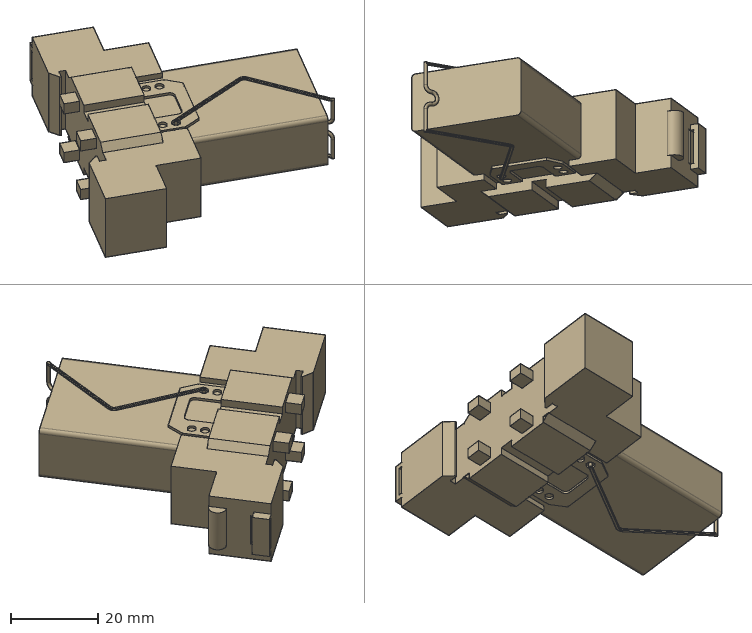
import cadquery as cq
import math


total_length = 65.2
total_height = 60.6
end_projection = 2.0
socket_half_length = (total_length - end_projection) / 2
socket_thickness = 16.9
socket_half_thickness = socket_thickness / 2
shoulder_half_length = 22.55
shoulder_height = 14.55
tower_height = 25.15
rail_seat_height = 4.05
rail_recess_half = 17.55
rail_lip_half = 15.5
rail_lip_top = 2.5
rail_lip_bottom = 2.1
rail_lip_run = rail_recess_half - rail_lip_half

total_thickness = 20.0
block_half_thickness = total_thickness / 2
block_height = 18.4
block_base_half = 14.7
block_face_half = 12.7
block_foot_depth = 0.2
block_slot_width = 3.5
block_slot_floor = 8.0

pin_width = 3.65
pin_thickness = 2.95
pin_spacing = 14.5
pin_outer_z = 8.5
pin_tip_height = 0.3

relay_half_width = 13.8
relay_half_thickness = 7.0
relay_end = 57.75
relay_edge_radius = 1.0
bay_half_width = 10.75

plate_thickness = 0.65
plate_outer_z = relay_half_thickness + plate_thickness
plate_half_width = 9.2
plate_end = 29.0
plate_end_half = 6.9
window_half_width = 4.2
window_end = 26.0
window_radius = 1.25
plate_hole_diameter = 2.0
plate_hole_x = 7.1
plate_hole_heights = (20.35, 23.5)

wire_diameter = 0.85
wire_radius = wire_diameter / 2
arm_thickness = wire_radius
arm_bevel = 0.2
arm_plane_z = socket_half_thickness - arm_thickness / 2
arm_bend = (-4.55, 42.5)
arm_bend_radius = 1.45
bail_position = (9.1, total_height - wire_radius)
bail_curve_radius = 1.47

latch_half_thickness = 5.4
rib_radius = 2.15
rib_height = 12.5
clip_top = rail_seat_height
clip_slot_half = 4.1
clip_slot_width = 0.8
clip_slot_top = 4.8


def box(x_range, y_range, z_range):
    """Axis-aligned box between pairs of limits."""
    lows, highs = zip(x_range, y_range, z_range)
    sizes = [high - low for low, high in zip(lows, highs)]
    return cq.Workplane("XY").box(*sizes, centered=False).translate(lows)


def slab(half_thickness):
    """Z limits of a slab centred on the XY plane."""
    return (-half_thickness, half_thickness)


def with_mirror(half):
    """Join a shape with its mirror image below the XY plane."""
    return half.union(half.mirror("XY"))


def make_socket_body():
    """Stepped socket with a hooked rail recess."""
    right_half = [
        (rail_recess_half, rail_seat_height),
        (rail_recess_half, rail_lip_top),
        (rail_lip_half, rail_lip_top),
        (rail_lip_half, rail_lip_bottom),
        (rail_lip_half + rail_lip_run, rail_lip_bottom - rail_lip_run),
        (rail_recess_half, 0),
        (socket_half_length, 0),
        (socket_half_length, shoulder_height),
        (shoulder_half_length, shoulder_height),
        (shoulder_half_length, tower_height),
    ]
    left_half = [(-x, y) for x, y in reversed(right_half)]
    body = cq.Workplane("XY").polyline(right_half + left_half).close()
    body = body.extrude(socket_half_thickness, both=True)
    for side in (1, -1):
        bay_z = sorted((side * relay_half_thickness, side * socket_half_thickness))
        body = body.cut(box(slab(bay_half_width), (block_height, tower_height), bay_z))
    return body


def make_central_block():
    """Raised block with sloping flanks and a slot down each face."""
    outline = [
        (block_base_half, socket_half_thickness),
        (block_face_half, block_half_thickness),
        (-block_face_half, block_half_thickness),
        (-block_base_half, socket_half_thickness),
    ]
    mirrored_outline = [(x, -z) for x, z in reversed(outline)]
    block = cq.Workplane("XZ", origin=(0, block_height, 0))
    block = block.polyline(outline + mirrored_outline).close()
    return block.extrude(block_height - rail_seat_height)


def make_block_feet():
    """Thin wedges ending the two lower flanks of the block."""
    wedge = cq.Workplane("XZ", origin=(0, rail_seat_height, 0)).polyline([
        (block_face_half, -socket_half_thickness),
        (block_base_half, -socket_half_thickness),
        (block_face_half, -block_half_thickness),
    ])
    wedge = wedge.close().extrude(block_foot_depth)
    return wedge.union(wedge.mirror("YZ"))


def make_block_slots():
    """Cutters for the slots in the middle of both block faces."""
    slot = box(
        slab(block_slot_width / 2),
        (rail_seat_height, block_height),
        (block_slot_floor, block_half_thickness),
    )
    return slot.union(slot.mirror("XY"))


def make_pins():
    """Four rectangular contact pins."""
    pins = cq.Workplane("XY")
    for x in (-pin_spacing / 2, pin_spacing / 2):
        pin = box(
            (x - pin_width / 2, x + pin_width / 2),
            (pin_tip_height, rail_seat_height),
            (pin_outer_z - pin_thickness, pin_outer_z),
        )
        pins = pins.union(with_mirror(pin))
    return pins


def make_relay():
    """Relay case with rounded long edges, seated in the socket."""
    case = box(slab(relay_half_width), (block_height, relay_end), slab(relay_half_thickness))
    return case.edges("|Y").fillet(relay_edge_radius)


def make_plate():
    """Bracket plate with a window and four holes, on the +Z face."""
    outline = [
        (plate_half_width, block_height),
        (plate_half_width, tower_height),
        (plate_end_half, plate_end),
        (-plate_end_half, plate_end),
        (-plate_half_width, tower_height),
        (-plate_half_width, block_height),
    ]
    plate = cq.Workplane("XY", origin=(0, 0, relay_half_thickness))
    plate = plate.polyline(outline).close().extrude(plate_thickness)
    window = box(
        slab(window_half_width),
        (block_height, window_end),
        (relay_half_thickness, plate_outer_z),
    )
    window = window.edges("|Z and >Y").fillet(window_radius)
    hole_centres = [(side * plate_hole_x, y) for side in (1, -1) for y in plate_hole_heights]
    holes = cq.Workplane("XY", origin=(0, 0, relay_half_thickness))
    holes = holes.pushPoints(hole_centres).circle(plate_hole_diameter / 2).extrude(plate_thickness)
    return plate.cut(window).cut(holes)


def unit_vector(start, end):
    """Unit vector in the XY plane from one point to another."""
    length = math.dist(start, end)
    return ((end[0] - start[0]) / length, (end[1] - start[1]) / length)


def make_spring_arm():
    """Flat, bevelled arm on the +Z side, with the pin that hooks into the plate hole."""
    foot = (plate_hole_x, plate_hole_heights[-1])
    to_foot = unit_vector(arm_bend, foot)
    to_bail = unit_vector(arm_bend, bail_position)
    cos_between = to_foot[0] * to_bail[0] + to_foot[1] * to_bail[1]
    half_angle = math.acos(cos_between) / 2
    tangent_length = arm_bend_radius / math.tan(half_angle)
    apex_distance = arm_bend_radius / math.sin(half_angle) - arm_bend_radius
    bisector = unit_vector((0, 0), (to_foot[0] + to_bail[0], to_foot[1] + to_bail[1]))

    def from_bend(direction, distance):
        return (arm_bend[0] + direction[0] * distance, arm_bend[1] + direction[1] * distance)

    path = (
        cq.Workplane("XY", origin=(0, 0, arm_plane_z))
        .moveTo(*foot)
        .lineTo(*from_bend(to_foot, tangent_length))
        .threePointArc(from_bend(bisector, apex_distance), from_bend(to_bail, tangent_length))
        .lineTo(*bail_position)
    )
    start_plane = cq.Plane(
        origin=(*foot, arm_plane_z),
        xDir=(0, 0, 1),
        normal=(-to_foot[0], -to_foot[1], 0),
    )
    outer = arm_thickness / 2
    section = [
        (-outer, -wire_radius),
        (outer - arm_bevel, -wire_radius),
        (outer, arm_bevel - wire_radius),
        (outer, wire_radius - arm_bevel),
        (outer - arm_bevel, wire_radius),
        (-outer, wire_radius),
    ]
    arm = cq.Workplane(start_plane).polyline(section).close().sweep(path)
    hook = cq.Workplane("XY", origin=(*foot, relay_half_thickness)).circle(wire_radius)
    return arm.union(hook.extrude(arm_plane_z - relay_half_thickness))


def make_spring_bail():
    """Cross wire joining both arms, dipping to the relay end in the middle."""
    arm_direction = unit_vector(arm_bend, bail_position)
    radius = bail_curve_radius
    diagonal = radius * math.sqrt(0.5)
    bail_plane = cq.Plane(
        origin=(*bail_position, 0),
        xDir=(-arm_direction[0], -arm_direction[1], 0),
        normal=(-arm_direction[1], arm_direction[0], 0),
    )
    end = socket_half_thickness
    path = (
        cq.Workplane(bail_plane)
        .moveTo(0, -end)
        .lineTo(0, -2 * radius)
        .threePointArc((radius - diagonal, diagonal - 2 * radius), (radius, -radius))
        .threePointArc((2 * radius, 0), (radius, radius))
        .threePointArc((radius - diagonal, 2 * radius - diagonal), (0, 2 * radius))
        .lineTo(0, end)
    )
    section = cq.Workplane("XY", origin=(*bail_position, -end)).circle(wire_radius)
    return section.sweep(path)


def make_latch():
    """Half-round rib and slotted clip on the -X end."""
    rib = cq.Workplane("XY", origin=(rib_radius - total_length + socket_half_length, rib_height, 0))
    rib = rib.circle(rib_radius).extrude(latch_half_thickness, both=True)
    clip_x = (socket_half_length - total_length, -socket_half_length)
    clip = box(clip_x, (0, clip_top), slab(latch_half_thickness))
    return rib.union(clip)


def make_clip_slot():
    """Cutter for the slot between clip and socket, reaching into the end face."""
    through = box(
        (-socket_half_length - clip_slot_width, -socket_half_length),
        (0, clip_top),
        slab(clip_slot_half),
    )
    pocket = box(
        (-socket_half_length, clip_slot_width - socket_half_length),
        (clip_top, clip_slot_top),
        slab(clip_slot_half),
    )
    return through.union(pocket)


result = make_socket_body().union(make_central_block()).union(make_block_feet()).cut(make_block_slots())
result = result.union(make_pins()).union(make_relay())
result = result.union(make_latch()).cut(make_clip_slot())
result = result.union(with_mirror(make_plate()))
result = result.union(with_mirror(make_spring_arm())).union(make_spring_bail())